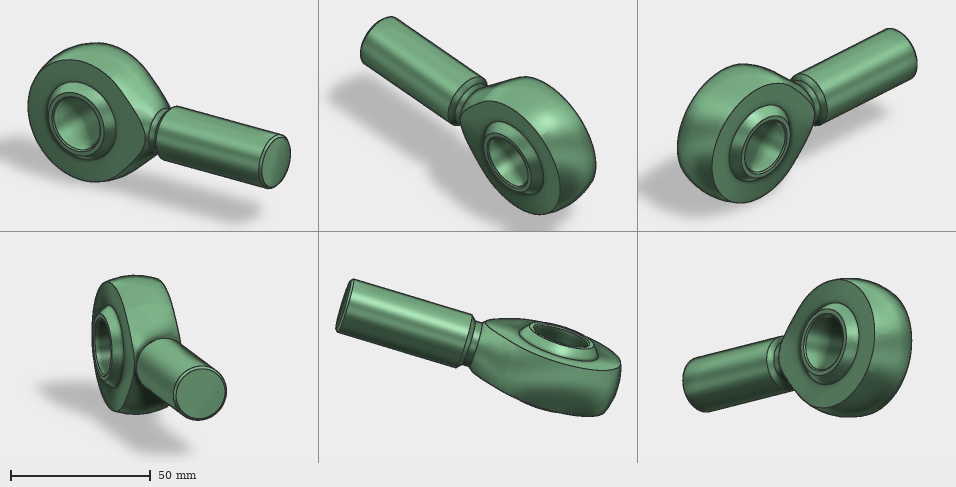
import cadquery as cq
import math

head_diameter = 50.0
head_radius = head_diameter / 2
head_width = 18.0
cone_start_x = 16.6
cone_start_radius = math.sqrt(head_radius**2 - cone_start_x**2)

ball_width = 25.0
ball_radius = 17.4
bore_diameter = 20.0
bore_chamfer = 0.5

neck_radius = 16.4 / 2
neck_start_x = cone_start_x + (cone_start_radius - neck_radius) * cone_start_radius / cone_start_x
neck_end_x = 31.0
shank_radius = 20.0 / 2
shank_chamfer = shank_radius - neck_radius
end_chamfer = 0.8
overall_length = 103.0
shank_end_x = overall_length - head_radius


def make_body():
    """Revolve the head, neck and shank about X, then flatten the head."""
    arc_angle = (math.pi + math.atan2(cone_start_radius, cone_start_x)) / 2
    arc_middle = (head_radius * math.cos(arc_angle), head_radius * math.sin(arc_angle))
    body = (
        cq.Workplane("XY")
        .moveTo(-head_radius, 0)
        .threePointArc(arc_middle, (cone_start_x, cone_start_radius))
        .lineTo(neck_start_x, neck_radius)
        .lineTo(neck_end_x, neck_radius)
        .lineTo(neck_end_x + shank_chamfer, shank_radius)
        .lineTo(shank_end_x - end_chamfer, shank_radius)
        .lineTo(shank_end_x, shank_radius - end_chamfer)
        .lineTo(shank_end_x, 0)
        .close()
        .revolve(360, (0, 0, 0), (1, 0, 0))
    )
    head_slab = cq.Workplane("XY").box(2 * neck_start_x, head_width, 2 * head_radius)
    shank_keep = (
        cq.Workplane("YZ")
        .workplane(offset=neck_start_x)
        .circle(head_radius)
        .extrude(overall_length)
    )
    return body.intersect(head_slab.union(shank_keep))


def make_ball():
    """Sphere trimmed by two flat ends square to the bore."""
    ball_diameter = 2 * ball_radius
    ball_slab = cq.Workplane("XY").box(ball_diameter, ball_width, ball_diameter)
    return cq.Workplane("XY").sphere(ball_radius).intersect(ball_slab)


def make_bore():
    """Through bore along Y with a chamfered mouth at each end."""
    bore_radius = bore_diameter / 2
    half_ball = ball_width / 2
    mouth_radius = bore_radius + bore_chamfer
    return (
        cq.Workplane("XY")
        .moveTo(0, -half_ball)
        .lineTo(mouth_radius, -half_ball)
        .lineTo(bore_radius, -half_ball + bore_chamfer)
        .lineTo(bore_radius, half_ball - bore_chamfer)
        .lineTo(mouth_radius, half_ball)
        .lineTo(0, half_ball)
        .close()
        .revolve(360, (0, 0, 0), (0, 1, 0))
    )


result = make_body().union(make_ball()).cut(make_bore())